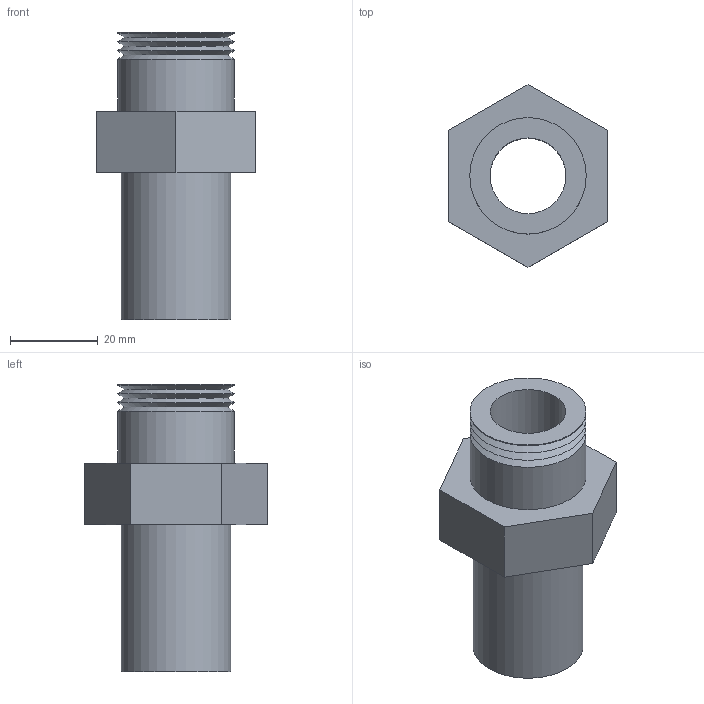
import cadquery as cq

tube_length = 33.5
hex_height = 14.0
collar_height = 11.8
groove_count = 3
groove_pitch = 2.0
rim_height = 0.2

hex_across_flats = 36.0
tube_diameter = 25.0
collar_diameter = 26.5
bore_diameter = 17.25
groove_depth = 1.5

hex_top = tube_length + hex_height
collar_top = hex_top + collar_height
total_height = collar_top + groove_count * groove_pitch + rim_height


def make_tube():
    return cq.Workplane("XY").circle(tube_diameter / 2).extrude(tube_length)


def make_hex():
    """Hexagon with two flats facing +X and -X."""
    return (
        cq.Workplane("XY", origin=(0, 0, tube_length))
        .polygon(6, hex_across_flats, circumscribed=True)
        .extrude(hex_height)
    )


def make_grooved_collar():
    """Round collar whose upper end carries a stack of V grooves below a thin rim."""
    crest_radius = collar_diameter / 2
    root_radius = crest_radius - groove_depth
    profile = cq.Workplane("XZ").moveTo(0, hex_top).lineTo(crest_radius, hex_top)
    profile = profile.lineTo(crest_radius, collar_top)
    for index in range(groove_count):
        groove_bottom = collar_top + index * groove_pitch
        profile = profile.lineTo(root_radius, groove_bottom + groove_pitch / 2)
        profile = profile.lineTo(crest_radius, groove_bottom + groove_pitch)
    profile = profile.lineTo(crest_radius, total_height).lineTo(0, total_height).close()
    return profile.revolve(360, (0, 0, 0), (0, 1, 0))


def make_bore():
    return cq.Workplane("XY").circle(bore_diameter / 2).extrude(total_height)


result = make_tube().union(make_hex()).union(make_grooved_collar()).cut(make_bore())